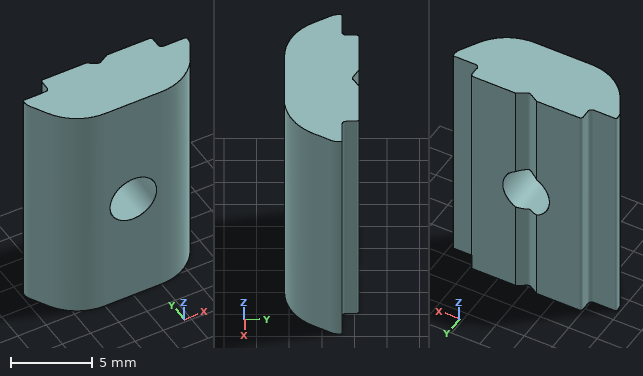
import cadquery as cq
import math

length = 16.0
width = 11.6
depth = 4.6

land_width = 7.87
land_height = 1.04
land_edge_radius = 0.2
land_root_radius = 0.25
ledge_edge_radius = 0.1

flat_width = 4.0
belly_radius = 3.5
flank_angle = math.radians(60)
shoulder_radius = 1.0

groove_width = 1.5
groove_angle = math.radians(30)
groove_tip_radius = 0.2

hole_diameter = 3.3

back = depth / 2
front = -depth / 2
ledge = back - land_height
half_width = width / 2


def arc_point(center, radius, angle):
    """Point on a circle, with the angle measured from +X."""
    return (center[0] + radius * math.cos(angle), center[1] + radius * math.sin(angle))


def make_body():
    """Extrude the profile, with tangent arcs joining its flat face, flanks and sides."""
    belly_center = (flat_width / 2, front + belly_radius)
    flank_normal = flank_angle - math.pi / 2
    belly_middle = arc_point(belly_center, belly_radius, (flank_normal - math.pi / 2) / 2)
    flank_start = arc_point(belly_center, belly_radius, flank_normal)

    shoulder_x = half_width - shoulder_radius
    flank_end_x = shoulder_x + shoulder_radius * math.cos(flank_normal)
    flank_end_y = flank_start[1] + (flank_end_x - flank_start[0]) * math.tan(flank_angle)
    shoulder_y = flank_end_y - shoulder_radius * math.sin(flank_normal)
    shoulder_middle = arc_point((shoulder_x, shoulder_y), shoulder_radius, flank_normal / 2)

    half = (
        cq.Workplane("XY")
        .moveTo(0, front)
        .lineTo(flat_width / 2, front)
        .threePointArc(belly_middle, flank_start)
        .lineTo(flank_end_x, flank_end_y)
        .threePointArc(shoulder_middle, (half_width, shoulder_y))
        .lineTo(half_width, ledge)
        .lineTo(land_width / 2, ledge)
        .lineTo(land_width / 2, back)
        .lineTo(0, back)
        .close()
        .extrude(length / 2, both=True)
    )
    return half.union(half.mirror("YZ"))


def round_edges(body, x, y, radius):
    """Round the mirrored pair of lengthwise edges at +x and -x."""
    for side in (-1, 1):
        edge = cq.selectors.NearestToPointSelector((side * x, y, 0))
        body = body.edges("|Z").edges(edge).fillet(radius)
    return body


def make_groove():
    """V-shaped cutter with a rounded tip."""
    tip_y = back - groove_width / 2 * math.tan(groove_angle)
    cutter = (
        cq.Workplane("XY")
        .polyline([(-groove_width / 2, back), (0, tip_y), (groove_width / 2, back)])
        .close()
        .extrude(length / 2, both=True)
    )
    return cutter.edges("|Z and <Y").fillet(groove_tip_radius)


body = make_body()
body = round_edges(body, land_width / 2, back, land_edge_radius)
body = round_edges(body, land_width / 2, ledge, land_root_radius)
body = round_edges(body, half_width, ledge, ledge_edge_radius)
body = body.cut(make_groove())

hole = cq.Workplane("XZ").circle(hole_diameter / 2).extrude(depth, both=True)
result = body.cut(hole)